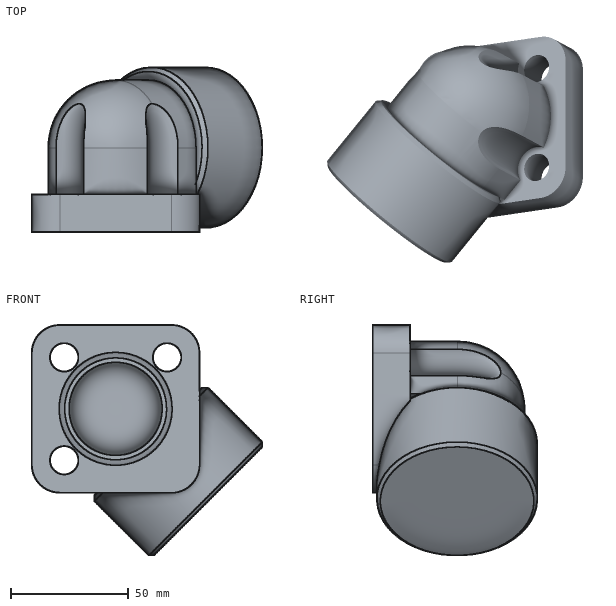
import cadquery as cq
import math

flange_side = 71.6
flange_thickness = 16.0
flange_corner_radius = 12.0
bolt_offset = 21.9
bolt_hole_diameter = 12.0
bolt_clearance_radius = 9.0

bore_radius = 19.9
bore_depth = 14.7
groove_inner_radius = 21.7
groove_outer_radius = 24.1
groove_depth = 2.0

body_radius = 28.8
outlet_height = 36.0
collar_radius = 34.2
collar_end_chamfer = 1.5
collar_start_chamfer = 1.8
collar_start = 19.7
overall_size = 98.3
outlet_reach = (overall_size - flange_side / 2) * math.sqrt(2)
collar_end = outlet_reach - collar_radius + collar_end_chamfer

outlet_turn = 45
bolt_positions = [(-bolt_offset, bolt_offset), (bolt_offset, bolt_offset), (-bolt_offset, -bolt_offset)]


def cylinder_along_y(radius, start, end, x=0, z=0):
    axis = cq.Vector(0, 1, 0)
    return cq.Workplane(cq.Solid.makeCylinder(radius, end - start, cq.Vector(x, start, z), axis))


def cylinder_along_outlet(radius, start, end):
    base = cq.Vector(start, outlet_height, 0)
    return cq.Workplane(cq.Solid.makeCylinder(radius, end - start, base, cq.Vector(1, 0, 0)))


def turn_to_outlet(shape):
    return shape.rotate((0, 0, 0), (0, 1, 0), outlet_turn)


def make_flange():
    plate = cq.Workplane("XY").box(flange_side, flange_thickness, flange_side)
    plate = plate.edges("|Y").fillet(flange_corner_radius)
    return plate.translate((0, flange_thickness / 2, 0))


def make_body():
    """Domed post with a neck of U-shaped section reaching to the collar."""
    post = cylinder_along_y(body_radius, 0, outlet_height)
    dome = cq.Workplane("XY").sphere(body_radius).translate((0, outlet_height, 0))
    web_height = outlet_height - flange_thickness
    web = cq.Workplane("XY").box(collar_start, web_height, 2 * body_radius)
    web = web.translate((collar_start / 2, flange_thickness + web_height / 2, 0))
    neck = cylinder_along_outlet(body_radius, 0, collar_start + collar_start_chamfer)
    return post.union(dome).union(turn_to_outlet(web.union(neck)))


def make_collar():
    collar = cylinder_along_outlet(collar_radius, collar_start, collar_end)
    collar = collar.faces("<X").edges().chamfer(collar_start_chamfer)
    return turn_to_outlet(collar.faces(">X").edges().chamfer(collar_end_chamfer))


def make_seal_groove():
    ring = cylinder_along_y(groove_outer_radius, 0, groove_depth)
    return ring.cut(cylinder_along_y(groove_inner_radius, 0, groove_depth))


body = make_body()
body_top = outlet_height + body_radius
for x, z in bolt_positions:
    body = body.cut(cylinder_along_y(bolt_clearance_radius, 0, body_top, x, z))

result = make_flange().union(body).union(make_collar())
for x, z in bolt_positions:
    result = result.cut(cylinder_along_y(bolt_hole_diameter / 2, 0, flange_thickness, x, z))
result = result.cut(cylinder_along_y(bore_radius, 0, bore_depth)).cut(make_seal_groove())